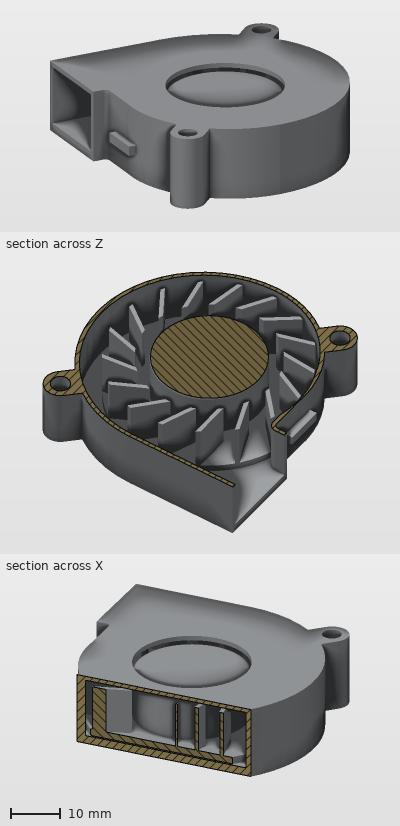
import cadquery as cq
import math


height = 15.0
wall = 1.0
floor_thickness = 1.8
cavity_height = height - floor_thickness - wall

left_x = -27.85
right_x = 23.95
upper_radius = (right_x - left_x) / 2
upper_center_x = (right_x + left_x) / 2
lower_radius = 22.05
lower_center_x = right_x - lower_radius

underside_y = -math.sqrt(lower_radius**2 - lower_center_x**2)

outlet_y = -25.1
outlet_right_x = -8.85
step_radius = 1.0

inlet_diameter = 24.0

lug_hole_diameter = 4.0
lug_radius = 3.5
lug_reach = 10.35
upper_left_lug = (-23.3, 20.15)
lower_right_lug = (19.35, -18.4)
lug_directions = {upper_left_lug: -45, lower_right_lug: 135}

tab_left_x = -4.75
tab_length = 8.55
tab_projection = 1.6
tab_bottom_z = 5.4
tab_height = 2.0

impeller_radius = 43.0 / 2
radial_clearance = 0.2
axial_clearance = 0.15
disc_bottom_z = floor_thickness + axial_clearance
disc_thickness = 1.55

hub_diameter = inlet_diameter
hub_top_z = 13.5
hub_fillet = 1.0

blade_count = 17
blade_top_z = 13.0
blade_thickness = 0.9
blade_inner_radius = 14.95
first_tip_angle = 18.2
blade_lean = 28.4


def cylinder(radius, bottom_z, length):
    return cq.Workplane("XY").workplane(offset=bottom_z).circle(radius).extrude(length)


def scroll_prism(inset, bottom_z, length):
    """Scroll and outlet duct, with every side except the outlet end moved inward by inset."""
    left = left_x + inset
    right = right_x - inset
    upper = upper_radius - inset
    lower = lower_radius - inset
    base_y = underside_y + inset
    duct_right = outlet_right_x - inset
    step = step_radius + inset

    arc_end_x = lower_center_x - math.sqrt(lower**2 - base_y**2)
    diagonal = math.sqrt(0.5)
    lower_mid = (lower_center_x + lower * diagonal, -lower * diagonal)
    step_bulge = step * (1 - diagonal)
    step_mid = (duct_right + step_bulge, base_y - step_bulge)

    return (
        cq.Workplane("XY")
        .workplane(offset=bottom_z)
        .moveTo(left, outlet_y)
        .lineTo(left, 0)
        .threePointArc((upper_center_x, upper), (right, 0))
        .threePointArc(lower_mid, (arc_end_x, base_y))
        .lineTo(duct_right + step, base_y)
        .threePointArc(step_mid, (duct_right, base_y - step))
        .lineTo(duct_right, outlet_y)
        .close()
        .extrude(length)
    )


def make_lug(center, direction):
    """Full-height lug with a round end at center, reaching inward along direction (degrees)."""
    bar = cq.Workplane("XY").center(lug_reach / 2, 0).rect(lug_reach, 2 * lug_radius).extrude(height)
    lug = bar.union(cylinder(lug_radius, 0, height))
    return lug.rotate((0, 0, 0), (0, 0, 1), direction).translate((*center, 0))


def make_tab():
    """Tab that also reaches into the underside wall; cutting the cavity trims it flush inside."""
    tab = cq.Workplane("XY").box(tab_length, tab_projection + wall, tab_height, centered=False)
    return tab.translate((tab_left_x, underside_y - tab_projection, tab_bottom_z))


def make_housing():
    body = scroll_prism(0, 0, height).union(make_tab())
    for center, direction in lug_directions.items():
        body = body.union(make_lug(center, direction))

    body = body.cut(scroll_prism(wall, floor_thickness, cavity_height))
    body = body.cut(cylinder(impeller_radius + radial_clearance, floor_thickness, cavity_height))

    body = body.cut(cylinder(inlet_diameter / 2, height - wall, wall))

    for center in lug_directions:
        body = body.cut(cylinder(lug_hole_diameter / 2, 0, height).translate((*center, 0)))
    return body


def make_blades():
    """All blades: flat plates trimmed to the ring between the inner and tip radii."""
    blade_height = blade_top_z - disc_bottom_z
    ring = cylinder(impeller_radius, disc_bottom_z, blade_height)
    ring = ring.cut(cylinder(blade_inner_radius, disc_bottom_z, blade_height))

    axis_offset = impeller_radius * math.sin(math.radians(blade_lean))
    plate = (
        cq.Workplane("XY")
        .workplane(offset=disc_bottom_z)
        .center(impeller_radius / 2, axis_offset)
        .rect(impeller_radius, blade_thickness)
        .extrude(blade_height)
    )

    blades = []
    for index in range(blade_count):
        angle = first_tip_angle - blade_lean + index * 360 / blade_count
        blades.append(plate.rotate((0, 0, 0), (0, 0, 1), angle).intersect(ring))
    return blades


def make_impeller():
    hub = cylinder(hub_diameter / 2, disc_bottom_z, hub_top_z - disc_bottom_z)
    hub = hub.faces(">Z").edges().fillet(hub_fillet)
    body = cylinder(impeller_radius, disc_bottom_z, disc_thickness).union(hub)
    for blade in make_blades():
        body = body.union(blade)
    return body


housing = make_housing().solids()
impeller = make_impeller().solids()

result = cq.Compound.makeCompound([housing.val(), impeller.val()])